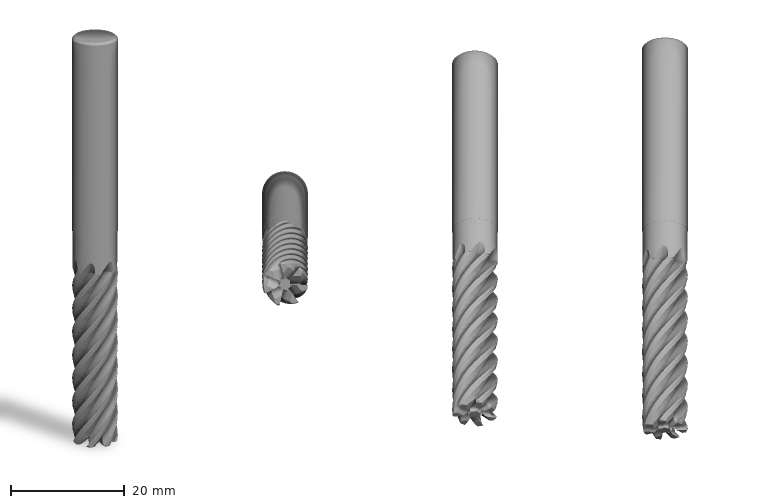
import cadquery as cq
import math

length = 75.0
shank_diameter = 8.0
neck_diameter = 7.95
cutting_length = 32.0
neck_top = 39.0
top_chamfer = 0.4

tooth_count = 7
helix_angle = 40.0
first_edge_angle = -105.0
margin_angle = 6.0
margin_drop = 0.04
heel_angle = 17.0
heel_radius = 3.75
root_angle = 34.0
root_radius = 2.6
rake_mid_angle = 48.0
rake_mid_radius = 2.85

runout_height = 2.2

corner_chamfer = 0.3
gash_height = 1.65
gash_width = 1.5
gash_inner_radius = 0.9
gash_set_back = 0.15

shank_radius = shank_diameter / 2
neck_radius = neck_diameter / 2
tooth_pitch = 360.0 / tooth_count
lead = math.pi * shank_diameter / math.tan(math.radians(helix_angle))
twist = 360.0 * cutting_length / lead
bottom_edge_angle = first_edge_angle - twist


def polar(radius, angle):
    """Point at a radius and an angle in degrees."""
    return (radius * math.cos(math.radians(angle)), radius * math.sin(math.radians(angle)))


def tooth_angles(start):
    """Cutting edge directions of all teeth, starting from one of them."""
    return [start + i * tooth_pitch for i in range(tooth_count)]


def add_flute(outline, edge):
    """Continue an outline from a tooth's heel down to the root and up a hollow to the next edge."""
    return outline.lineTo(*polar(root_radius, edge + root_angle)).threePointArc(
        polar(rake_mid_radius, edge + rake_mid_angle),
        polar(shank_radius, edge + tooth_pitch),
    )


def toothed_section(start):
    """Cross-section of the cutting part: margin, relief and flute of each tooth."""
    section = cq.Workplane("XY").moveTo(*polar(shank_radius, start))
    for edge in tooth_angles(start):
        section = section.lineTo(*polar(shank_radius - margin_drop, edge + margin_angle))
        section = section.lineTo(*polar(heel_radius, edge + heel_angle))
        section = add_flute(section, edge)
    return section.close()


def gash(edge):
    """Wedge cut in front of a tooth at the cutting end, its upright wall along the rake face."""
    wedge = (
        cq.Workplane("YZ", origin=(gash_inner_radius, 0, 0))
        .polyline([(gash_set_back, 0), (gash_set_back, gash_height), (-gash_width, 0)])
        .close()
        .extrude(shank_diameter)
    )
    return wedge.rotate((0, 0, 0), (0, 0, 1), edge)


def corner_ring():
    """Ring whose inner cone trims the tooth corners to a chamfer."""
    return (
        cq.Workplane("XZ")
        .polyline(
            [
                (shank_radius - 2 * corner_chamfer, -corner_chamfer),
                (shank_radius + corner_chamfer, -corner_chamfer),
                (shank_radius + corner_chamfer, 2 * corner_chamfer),
            ]
        )
        .close()
        .revolve(360, (0, 0, 0), (0, 1, 0))
    )


def make_cutting_part():
    """Twisted teeth with a chamfered corner and a gash in front of each tooth."""
    part = toothed_section(bottom_edge_angle).twistExtrude(cutting_length, twist)
    part = part.cut(corner_ring())
    for edge in tooth_angles(bottom_edge_angle):
        part = part.cut(gash(edge), clean=False)
    return part


def flute_runout(edge):
    """Flute behind a tooth, running straight up and out through the neck surface."""
    outline = (
        cq.Workplane("XY", origin=(0, 0, cutting_length))
        .moveTo(*polar(shank_diameter, edge + tooth_pitch))
        .lineTo(*polar(shank_diameter, edge + margin_angle))
        .lineTo(*polar(heel_radius, edge + heel_angle))
    )
    outline = add_flute(outline, edge).close()
    rise = polar(neck_radius - root_radius, edge + tooth_pitch)
    direction = cq.Vector(rise[0], rise[1], runout_height)
    return cq.Workplane(cq.Solid.extrudeLinear(outline.val(), [], direction))


def make_shank():
    """Plain shank with a chamfered top and a slightly thinner neck carrying the flute run-outs."""
    body = (
        cq.Workplane("XZ")
        .polyline(
            [
                (0, cutting_length),
                (neck_radius, cutting_length),
                (neck_radius, neck_top),
                (shank_radius, neck_top),
                (shank_radius, length - top_chamfer),
                (shank_radius - top_chamfer, length),
                (0, length),
            ]
        )
        .close()
        .revolve(360, (0, 0, 0), (0, 1, 0))
    )
    for edge in tooth_angles(first_edge_angle):
        body = body.cut(flute_runout(edge))
    return body


cutting_part = make_cutting_part()
shank = make_shank()

result = cq.Compound.makeCompound([*cutting_part.solids().vals(), *shank.solids().vals()])